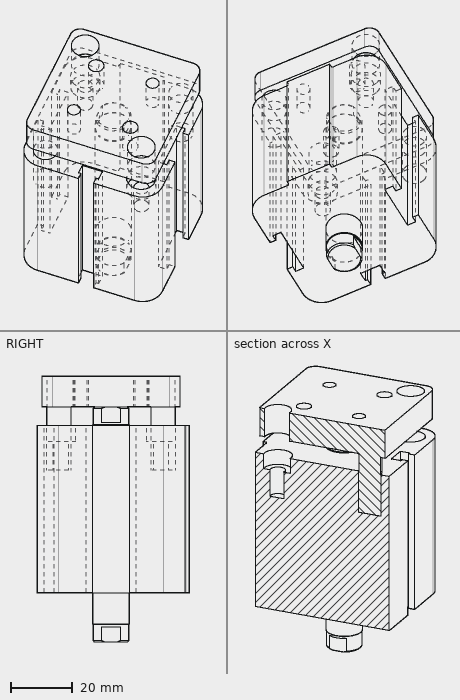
import cadquery as cq

total_height = 86.5
rod_tail_length = 16.0
plate_thickness = 10.0
plate_gap = 6.0
housing_bottom = rod_tail_length
plate_bottom = total_height - plate_thickness
housing_top = plate_bottom - plate_gap
housing_height = housing_top - housing_bottom

housing_width = 48.0
housing_depth = 49.5
housing_corner_radius = 7.0
half_width = housing_width / 2
rib_height = housing_depth - housing_width
rib_width = 15.6
rib_fillet = 0.4

wide_slot_opening = 12.0
wide_slot_inner_width = 16.2
wide_slot_lip = 2.1
wide_slot_depth = 5.0
narrow_slot_opening = 5.3
narrow_slot_inner_width = 7.0
narrow_slot_lip = 2.25
narrow_slot_depth = 5.5

screw_offset = 16.3
screw_hole_diameter = 5.0
screw_recess_diameter = 9.5
screw_recess_depth = 5.2
screw_hole_depth = 14.5
plate_access_diameter = 9.0

plate_width = 45.0
plate_corner_radius = 3.5
plate_hole_offset = 9.9
plate_dowel_hole_diameter = 5.0
plate_thread_hole_diameter = 4.2
pin_diameter = 8.0
pin_offset = 16.95
pin_depth_in_housing = 14.5
rod_diameter = 12.0
rod_end_diameter = 11.7
rod_flat_width = 9.95
rod_end_length = 5.7
rod_flat_length = 5.0
rod_end_chamfer = 0.5

screw_corners = [(-1, 1), (1, -1)]
pin_corners = [(-1, -1), (1, 1)]
on_axis = [(0, 0)]


def at_corners(corners, offset):
    """Points at the given offset along X and Y in each listed corner."""
    return [(x * offset, y * offset) for x, y in corners]


def rounded_block(width, radius, bottom, height):
    block = cq.Workplane("XY").workplane(offset=bottom).rect(width, width).extrude(height)
    return block.edges("|Z").fillet(radius)


def cylinders(points, diameter, bottom, top):
    plane = cq.Workplane("XY").workplane(offset=bottom)
    return plane.pushPoints(points).circle(diameter / 2).extrude(top - bottom)


def t_slot(opening, inner_width, lip, depth, angle):
    """T-slot cutter over the housing height; angle 0 is the -Y side."""
    mouth_side = -half_width
    cavity_side = mouth_side + lip
    floor_side = mouth_side + depth
    outline = [
        (-opening / 2, mouth_side),
        (-opening / 2, cavity_side),
        (-inner_width / 2, cavity_side),
        (-inner_width / 2, floor_side),
        (inner_width / 2, floor_side),
        (inner_width / 2, cavity_side),
        (opening / 2, cavity_side),
        (opening / 2, mouth_side),
    ]
    plane = cq.Workplane("XY").workplane(offset=housing_bottom)
    slot = plane.polyline(outline).close().extrude(housing_height)
    return slot.rotate((0, 0, 0), (0, 0, 1), angle)


def make_rib():
    """Rib on the +Y side, with small fillets where it meets the block."""
    half_rib = rib_width / 2
    foot = half_rib + rib_fillet
    return (
        cq.Workplane("XY").workplane(offset=housing_bottom)
        .moveTo(-foot, half_width)
        .radiusArc((-half_rib, half_width + rib_fillet), -rib_fillet)
        .lineTo(-half_rib, half_width + rib_height)
        .lineTo(half_rib, half_width + rib_height)
        .lineTo(half_rib, half_width + rib_fillet)
        .radiusArc((foot, half_width), -rib_fillet)
        .lineTo(foot, half_width - rib_height)
        .lineTo(-foot, half_width - rib_height)
        .close().extrude(housing_height)
    )


def make_rod():
    """Through rod whose two ends are slightly reduced, flatted and chamfered."""
    rod = cylinders(on_axis, rod_end_diameter, 0, plate_bottom)
    rod = rod.faces("<Z or >Z").chamfer(rod_end_chamfer)
    shank = cylinders(on_axis, rod_diameter, rod_end_length, plate_bottom - rod_end_length)
    shoulder_chamfer = (rod_diameter - rod_end_diameter) / 2
    rod = rod.union(shank.faces("<Z or >Z").chamfer(shoulder_chamfer))
    for bottom in (0, plate_bottom - rod_flat_length):
        blank = cylinders(on_axis, rod_diameter, bottom, bottom + rod_flat_length)
        flats = blank.cut(cq.Workplane("XY").box(rod_flat_width, rod_diameter, 2 * total_height))
        rod = rod.cut(flats)
    return rod


def make_pins():
    points = at_corners(pin_corners, pin_offset)
    return cylinders(points, pin_diameter, housing_top - pin_depth_in_housing, plate_bottom)


def make_housing():
    housing = rounded_block(housing_width, housing_corner_radius, housing_bottom, housing_height)
    housing = housing.union(make_rib())
    for angle in (-90, 90):
        housing = housing.cut(
            t_slot(wide_slot_opening, wide_slot_inner_width, wide_slot_lip, wide_slot_depth, angle)
        )
    housing = housing.cut(
        t_slot(narrow_slot_opening, narrow_slot_inner_width, narrow_slot_lip, narrow_slot_depth, 0)
    )
    screws = at_corners(screw_corners, screw_offset)
    screw_hole_floor = housing_top - screw_hole_depth
    housing = housing.cut(cylinders(screws, screw_hole_diameter, screw_hole_floor, housing_top))
    recess_floor = housing_top - screw_recess_depth
    housing = housing.cut(cylinders(screws, screw_recess_diameter, recess_floor, housing_top))
    rod_bore = cylinders(on_axis, rod_diameter, housing_bottom, housing_top)
    return housing.cut(rod_bore).cut(make_pins())


def make_yoke():
    plate = rounded_block(plate_width, plate_corner_radius, plate_bottom, plate_thickness)
    holes = [
        (screw_corners, screw_offset, plate_access_diameter),
        (screw_corners, plate_hole_offset, plate_dowel_hole_diameter),
        (pin_corners, plate_hole_offset, plate_thread_hole_diameter),
    ]
    for corners, offset, diameter in holes:
        plate = plate.cut(cylinders(at_corners(corners, offset), diameter, plate_bottom, total_height))
    return plate.union(make_pins()).union(make_rod())


housing = make_housing()
yoke = make_yoke()
result = cq.Compound.makeCompound([housing.solids().val(), yoke.solids().val()])